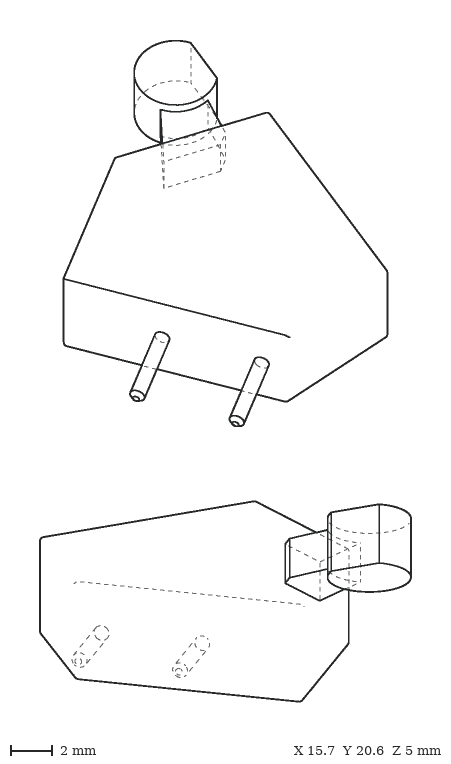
import cadquery as cq
import math

OVERALL_LENGTH = 20.55

HEIGHT = 5.0
LEFT_BOTTOM = (0, 0)
RIGHT_BOTTOM = (11.37, 0)
RIGHT_CORNER = (14.64, 5.33)
APEX = (6.09, 12.97)
LEFT_TOP = (0, 7.98)
EDGE_RADIUS = 0.2

PIN_DIAMETER = 0.75
PIN_LENGTH = 4.0
PIN_TIP_CHAMFER = 0.2
PIN_FIRST_X = 5.02
PIN_SPACING = 5.0
PIN_COUNT = 2

ROLLER_RADIUS = 2.0
ROLLER_WIDTH = 3.0
ROLLER_X = 0.9
ROLLER_Y = OVERALL_LENGTH - PIN_LENGTH - ROLLER_RADIUS
ROLLER_FLAT_DISTANCE = 1.55

ARM_THICKNESS = 2.0
ARM_LEFT_FOOT_X = 1.93
ARM_RIGHT_X = 4.17
ARM_SHOULDER_Y = 12.17
ARM_LEFT_END = (0.75, 12.69)
ARM_RIGHT_END = (2.75, 13.82)


def wall_y(x):
    """Y of the upper left wall at a given X."""
    slope = (APEX[1] - LEFT_TOP[1]) / (APEX[0] - LEFT_TOP[0])
    return LEFT_TOP[1] + slope * (x - LEFT_TOP[0])


def centred_prism(points, height):
    return cq.Workplane("XY").polyline(points).close().extrude(height / 2, both=True)


def make_housing():
    """Block with every edge rounded except the long top and bottom edges of the pin side."""
    block = centred_prism([LEFT_BOTTOM, RIGHT_BOTTOM, RIGHT_CORNER, APEX, LEFT_TOP], HEIGHT)
    upright_and_outline_edges = cq.selectors.StringSyntaxSelector("|Z or #Z")
    sharp_edges = cq.selectors.StringSyntaxSelector("<Y and #Z")
    rounded_edges = cq.selectors.SubtractSelector(upright_and_outline_edges, sharp_edges)
    return block.edges(rounded_edges).fillet(EDGE_RADIUS)


def make_roller():
    disc = (
        cq.Workplane("XY")
        .center(ROLLER_X, ROLLER_Y)
        .circle(ROLLER_RADIUS)
        .extrude(ROLLER_WIDTH / 2, both=True)
    )
    wall_angle = math.degrees(math.atan2(RIGHT_CORNER[1] - APEX[1], RIGHT_CORNER[0] - APEX[0]))
    beyond_flat = (
        cq.Workplane("XY")
        .box(2 * ROLLER_RADIUS, ROLLER_RADIUS, ROLLER_WIDTH, centered=(True, False, True))
        .translate((0, ROLLER_FLAT_DISTANCE, 0))
        .rotate((0, 0, 0), (0, 0, 1), wall_angle)
        .translate((ROLLER_X, ROLLER_Y, 0))
    )
    return disc.cut(beyond_flat)


def make_arm(roller):
    """Flat arm standing on the housing wall, hollowed at its end to fit the roller."""
    outline = [
        (ARM_LEFT_FOOT_X, wall_y(ARM_LEFT_FOOT_X)),
        (ARM_RIGHT_X, wall_y(ARM_RIGHT_X)),
        (ARM_RIGHT_X, ARM_SHOULDER_Y),
        ARM_RIGHT_END,
        ARM_LEFT_END,
    ]
    return centred_prism(outline, ARM_THICKNESS).cut(roller)


def make_pin(x):
    return (
        cq.Workplane("XZ", origin=(x, 0, 0))
        .circle(PIN_DIAMETER / 2)
        .extrude(PIN_LENGTH)
        .faces("<Y")
        .chamfer(PIN_TIP_CHAMFER)
    )


housing = make_housing()
roller = make_roller()
arm = make_arm(roller)
pins = [make_pin(PIN_FIRST_X + i * PIN_SPACING) for i in range(PIN_COUNT)]

result = cq.Compound.makeCompound(
    [housing.val(), arm.val(), roller.val(), *[pin.val() for pin in pins]]
)